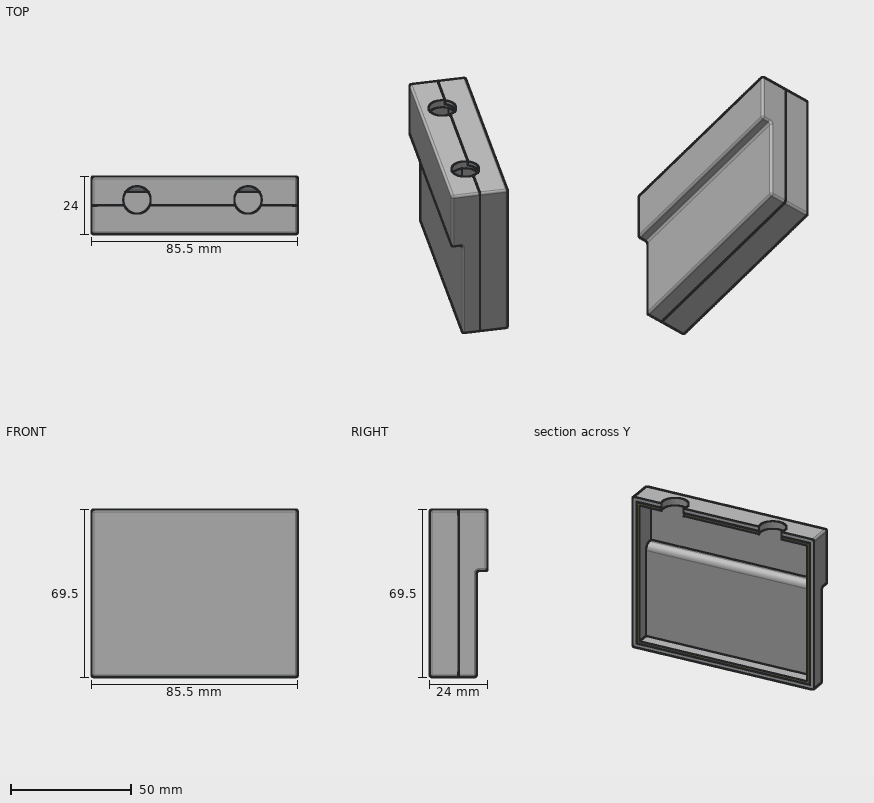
import cadquery as cq

width = 85.5
depth = 24.0
height = 69.5
edge_radius = 1.0

step_y = 19.5
step_z = 44.0
step_radius = 1.0

gap = 0.2
rear_start_y = (depth + gap) / 2
front_depth = rear_start_y - gap

wall = 2.0
lip_thickness = 1.5
lip_length = 4.0
rim = wall + lip_thickness

opening_diameter = 11.4
opening_spacing = 46.0
opening_middle_x = -0.9
opening_y = 14.25


def upright_block(x_size, y_start, y_end, margin):
    """Block centred on X, whose bottom and top lie inside the case by the given margin."""
    block = cq.Workplane("XY").box(
        x_size, y_end - y_start, height - 2 * margin, centered=(True, False, False)
    )
    return block.translate((0, y_start, margin))


def stepped_block(x_size, y_start, inset, margin, corner_radius):
    """Block with the case's stepped back, its back faces moved in by the inset."""
    corner_y = step_y - inset
    corner_z = step_z + inset
    outline = [
        (y_start, margin),
        (corner_y, margin),
        (corner_y, corner_z),
        (depth - inset, corner_z),
        (depth - inset, height - margin),
        (y_start, height - margin),
    ]
    block = cq.Workplane("YZ").polyline(outline).close().extrude(x_size / 2, both=True)
    corner = cq.selectors.NearestToPointSelector((0, corner_y, corner_z))
    return block.edges(corner).fillet(corner_radius)


def openings():
    """Two upright cylinders through the top wall and the lip below it."""
    centers = [(opening_middle_x + side * opening_spacing / 2, opening_y) for side in (-1, 1)]
    top_rim = cq.Workplane("XY", origin=(0, 0, height - rim))
    return top_rim.pushPoints(centers).circle(opening_diameter / 2).extrude(rim)


def front_shell():
    """Plain tray, open toward the parting line."""
    outside = upright_block(width, 0, front_depth, 0).edges("not(>Y)").fillet(edge_radius)
    cavity = upright_block(width - 2 * wall, wall, front_depth, wall)
    return outside.cut(cavity).cut(openings())


def rear_shell():
    """Stepped tray, open toward the front, with a lip that fits inside the front shell."""
    outside = stepped_block(width, rear_start_y, 0, 0, step_radius)
    outside = outside.edges("(<X or >X or <Z or >Z or >Y) and (not <Y)").fillet(edge_radius)
    lip_start_y = rear_start_y - lip_length
    lip = upright_block(width - 2 * wall, lip_start_y, rear_start_y, wall)
    cavity = stepped_block(width - 2 * rim, lip_start_y, wall, rim, step_radius + wall)
    return outside.union(lip).cut(cavity).cut(openings())


front = front_shell()
rear = rear_shell()
result = cq.Compound.makeCompound([front.val(), rear.val()])